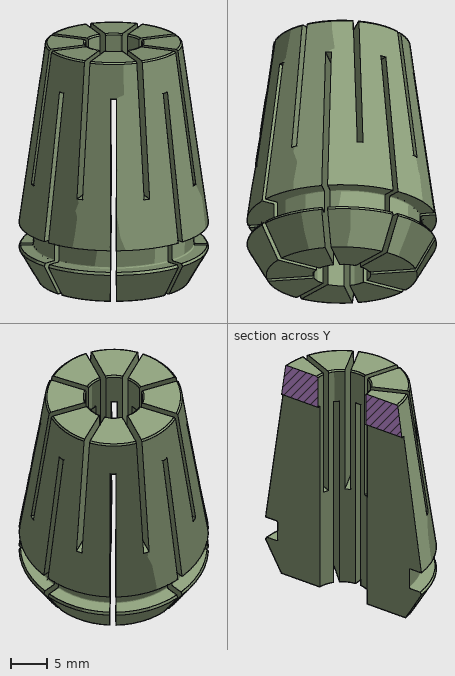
import cadquery as cq
import math

length = 34.0
max_radius = 26.0 / 2
bore_radius = 7.92 / 2

cone_base_z = 8.13
cone_half_angle = 8.0
cone_top_radius = max_radius - (length - cone_base_z) * math.tan(math.radians(cone_half_angle))

groove_radius = 22.0 / 2
flange_top_z = 4.95
flange_bevel_height = 0.37
flange_bevel_inset = 0.2
chin_half_angle = 30.0
chin_top_z = flange_top_z - flange_bevel_height
chin_base_radius = max_radius - chin_top_z * math.tan(math.radians(chin_half_angle))

edge_break = 0.2

slots_per_end = 8
slot_pitch = 360.0 / slots_per_end
slot_width = 0.8
lower_slot_top_z = 29.0
upper_slot_bottom_z = 14.93
slot_overrun = 1.35


def circles_at(body, z, radius):
    """Select the circular edge of the given radius at height z."""
    margin = edge_break / 2
    low = (-radius - margin, -radius - margin, z - margin)
    high = (radius + margin, radius + margin, z + margin)
    return body.edges(cq.selectors.BoxSelector(low, high, boundingbox=True))


def collet_blank():
    """Unslotted body: cone, groove, chin and bore, with the edges broken."""
    body = (
        cq.Workplane("XZ")
        .lineTo(chin_base_radius, 0)
        .lineTo(max_radius, chin_top_z)
        .lineTo(max_radius - flange_bevel_inset, flange_top_z)
        .lineTo(groove_radius, flange_top_z)
        .lineTo(groove_radius, cone_base_z)
        .lineTo(max_radius, cone_base_z)
        .lineTo(cone_top_radius, length)
        .lineTo(0, length)
        .close()
        .revolve(360, (0, 0, 0), (0, 1, 0))
    )
    body = circles_at(body, length, cone_top_radius).chamfer(edge_break)
    for corner_z in (flange_top_z, cone_base_z):
        body = circles_at(body, corner_z, groove_radius).fillet(edge_break)

    body = body.cut(cq.Workplane("XY").circle(bore_radius).extrude(length))
    return circles_at(body, length, bore_radius).chamfer(edge_break)


def cut_radial_slots(body, bottom_z, top_z, first_angle):
    """Cut a ring of slots that run from the bore out through the wall."""
    slot_length = max_radius + slot_overrun
    slot = (
        cq.Workplane("XY", origin=(0, 0, bottom_z))
        .box(slot_length, slot_width, top_z - bottom_z, centered=(False, True, False))
    )
    for index in range(slots_per_end):
        angle = first_angle + index * slot_pitch
        body = body.cut(slot.rotate((0, 0, 0), (0, 0, 1), angle))
    return body


collet = collet_blank()
collet = cut_radial_slots(collet, 0, lower_slot_top_z, 0)
result = cut_radial_slots(collet, upper_slot_bottom_z, length, slot_pitch / 2)